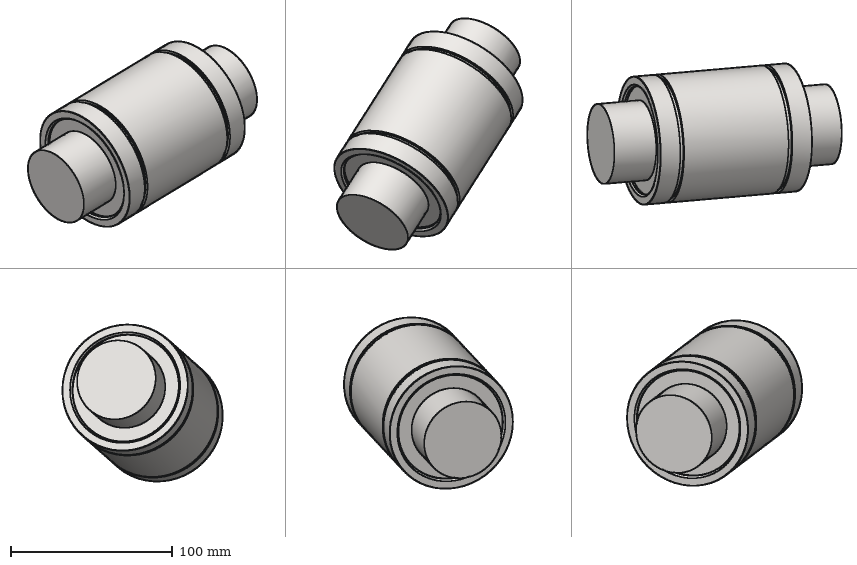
import cadquery as cq

shaft_length = 150.0
shaft_diameter = 50.0
sleeve_length = 100.0
sleeve_diameter = 80.0
rim_chamfer = 0.22

groove_span = 74.0
groove_width = 2.5
groove_diameter = 76.5
cutter_clearance = 1.5

recess_mouth_diameter = 70.0
recess_diameter = 67.6
recess_depth = 2.5
mouth_chamfer = (recess_mouth_diameter - recess_diameter) / 2


def cylinder(diameter, length, start):
    """Cylinder along +Y from Y = start."""
    return cq.Workplane("XZ", origin=(0, start, 0)).circle(diameter / 2).extrude(-length)


def groove(start):
    """Ring of material to remove from the sleeve's outer surface."""
    outer = cylinder(sleeve_diameter + cutter_clearance, groove_width, start)
    return outer.cut(cylinder(groove_diameter, groove_width, start))


def front_recess():
    """Cutter for the recess with its chamfered mouth at the -Y end face of the sleeve."""
    face = -sleeve_length / 2
    return (
        cq.Workplane("XY")
        .moveTo(0, face)
        .lineTo(recess_mouth_diameter / 2, face)
        .lineTo(recess_diameter / 2, face + mouth_chamfer)
        .lineTo(recess_diameter / 2, face + recess_depth)
        .lineTo(0, face + recess_depth)
        .close()
        .revolve(360, (0, 0, 0), (0, 1, 0))
    )


sleeve = cylinder(sleeve_diameter, sleeve_length, -sleeve_length / 2)
sleeve = sleeve.edges("%CIRCLE").chamfer(rim_chamfer)
for groove_start in (-groove_span / 2, groove_span / 2 - groove_width):
    sleeve = sleeve.cut(groove(groove_start))

recess = front_recess()
sleeve = sleeve.cut(recess).cut(recess.mirror("XZ"))

shaft = cylinder(shaft_diameter, shaft_length, -shaft_length / 2)
result = sleeve.union(shaft)